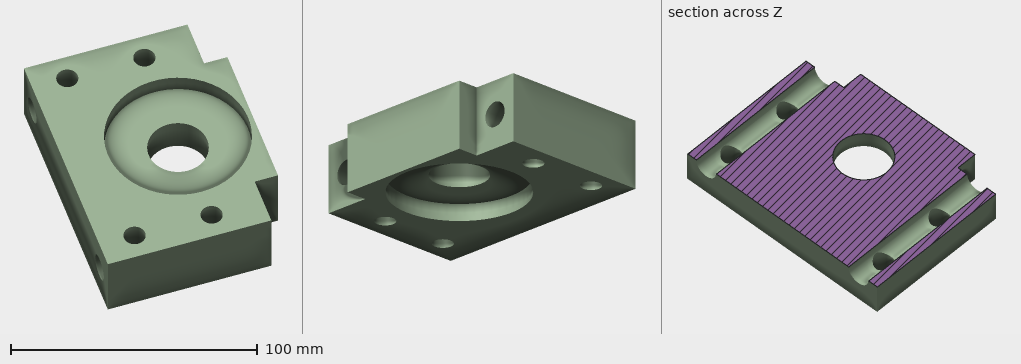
import cadquery as cq

width = 106.0
thickness = 30.0
shoulder_depth = 70.0

tongue_width = 64.0
overall_depth = 80.0

bore_y = overall_depth - tongue_width / 2
bore_diameter = 25.0
seat_diameter = 60.0
seat_depth = 7.5

hole_spacing_x = 85.0
hole_spacing_y = 33.0
vertical_hole_diameter = 9.0
horizontal_hole_diameter = 11.0
hole_columns = (-hole_spacing_x / 2, hole_spacing_x / 2)
hole_rows = (bore_y - hole_spacing_y, bore_y)


def make_block():
    """Rectangular block with a narrower full-height tongue at the rear."""
    body = cq.Workplane("XY").box(width, shoulder_depth, thickness, centered=(True, False, False))
    tongue = cq.Workplane("XY").box(tongue_width, overall_depth, thickness, centered=(True, False, False))
    return body.union(tongue)


def vertical_cylinder(x, y, bottom, diameter, height):
    """Cutter along Z, rising from the given bottom height."""
    return cq.Workplane("XY", origin=(x, y, bottom)).circle(diameter / 2).extrude(height)


def horizontal_cylinder(x):
    """Cutter along Y through the body at mid thickness."""
    front_plane = cq.Workplane("XZ", origin=(x, 0, thickness / 2))
    return front_plane.circle(horizontal_hole_diameter / 2).extrude(-shoulder_depth)


result = make_block()

result = result.cut(vertical_cylinder(0, bore_y, 0, bore_diameter, thickness))
for seat_bottom in (0, thickness - seat_depth):
    result = result.cut(vertical_cylinder(0, bore_y, seat_bottom, seat_diameter, seat_depth))

for column_x in hole_columns:
    result = result.cut(horizontal_cylinder(column_x))
    for row_y in hole_rows:
        result = result.cut(vertical_cylinder(column_x, row_y, 0, vertical_hole_diameter, thickness))